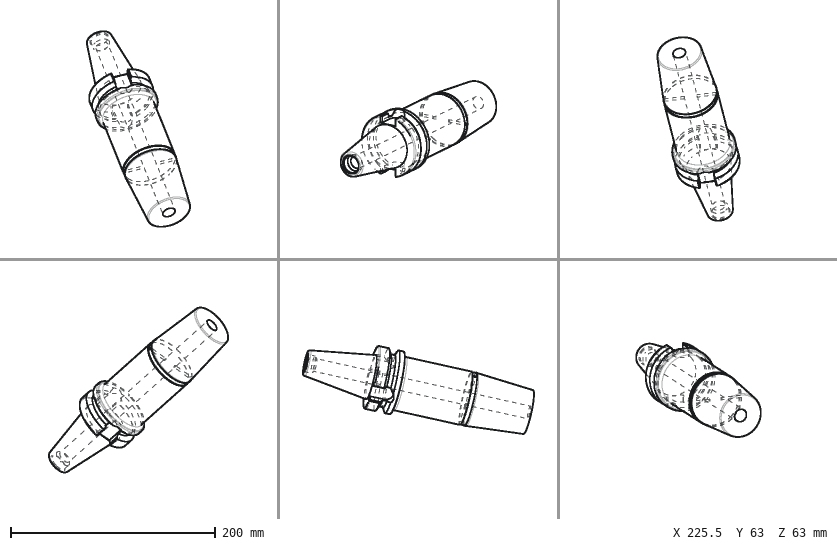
import cadquery as cq
import math

TOTAL_LENGTH = 225.5
FLANGE_START = 66.0
FLANGE_WIDTH = 26.4
FLANGE_END = FLANGE_START + FLANGE_WIDTH

TAPER_BIG_RADIUS = 22.3
TAPER_SLOPE = 7 / 48
TAPER_SMALL_RADIUS = TAPER_BIG_RADIUS - FLANGE_START * TAPER_SLOPE
TAPER_END_FILLET = 1.8

FLANGE_RADIUS = 31.5
FLANGE_EDGE = 1.1
GROOVE_FLANK_ANGLE = 30
GROOVE_BOTTOM_RADIUS = 26.4
GROOVE_BOTTOM_START = 79.8
GROOVE_BOTTOM_END = 84.0
GROOVE_DEPTH = FLANGE_RADIUS - GROOVE_BOTTOM_RADIUS
GROOVE_FLANK_WIDTH = GROOVE_DEPTH * math.tan(math.radians(GROOVE_FLANK_ANGLE))

BODY_RADIUS = 26.8
BODY_FILLET = 2.7
RELIEF_START = 161.5
RELIEF_END = 166.3
RELIEF_DEPTH = 0.5
NOSE_START = 167.7
NOSE_START_RADIUS = 26.5
NOSE_END_RADIUS = 22.0
NOSE_EDGE = 1.1

SLOT_HALF_WIDTH = 8.0
SLOT_FLOOR = 22.8
SLOT_END = 88.8
SLOT_BEVEL = 1.1

BORE_RADIUS = 6.3
ENTRY_RADIUS = 8.5
ENTRY_DEPTH = 7.2
ENTRY_CHAMFER = 1.0

CROSS_HOLE_RADIUS = 1.1
CROSS_HOLE_X = 163.9


def make_turned_body():
    """Revolve the outer profile about the X axis."""
    corner = FLANGE_EDGE * (1 - math.sqrt(0.5))
    body_corner = BODY_FILLET * (1 - math.sqrt(0.5))
    profile = (
        cq.Workplane("XZ")
        .lineTo(0, TAPER_SMALL_RADIUS)
        .lineTo(FLANGE_START, TAPER_BIG_RADIUS)
        .lineTo(FLANGE_START, FLANGE_RADIUS - FLANGE_EDGE)
        .threePointArc(
            (FLANGE_START + corner, FLANGE_RADIUS - corner),
            (FLANGE_START + FLANGE_EDGE, FLANGE_RADIUS),
        )
        .lineTo(GROOVE_BOTTOM_START - GROOVE_FLANK_WIDTH, FLANGE_RADIUS)
        .lineTo(GROOVE_BOTTOM_START, GROOVE_BOTTOM_RADIUS)
        .lineTo(GROOVE_BOTTOM_END, GROOVE_BOTTOM_RADIUS)
        .lineTo(GROOVE_BOTTOM_END + GROOVE_FLANK_WIDTH, FLANGE_RADIUS)
        .lineTo(FLANGE_END - FLANGE_EDGE, FLANGE_RADIUS)
        .threePointArc(
            (FLANGE_END - corner, FLANGE_RADIUS - corner),
            (FLANGE_END, FLANGE_RADIUS - FLANGE_EDGE),
        )
        .lineTo(FLANGE_END, BODY_RADIUS + BODY_FILLET)
        .threePointArc(
            (FLANGE_END + body_corner, BODY_RADIUS + body_corner),
            (FLANGE_END + BODY_FILLET, BODY_RADIUS),
        )
        .lineTo(RELIEF_START, BODY_RADIUS)
        .lineTo(RELIEF_START + RELIEF_DEPTH, BODY_RADIUS - RELIEF_DEPTH)
        .lineTo(RELIEF_END, BODY_RADIUS - RELIEF_DEPTH)
        .lineTo(RELIEF_END, BODY_RADIUS)
        .lineTo(NOSE_START, NOSE_START_RADIUS)
        .lineTo(TOTAL_LENGTH, NOSE_END_RADIUS)
        .lineTo(TOTAL_LENGTH, 0)
        .close()
    )
    body = profile.revolve(360, (0, 0, 0), (1, 0, 0))
    body = body.faces("<X").edges().fillet(TAPER_END_FILLET)
    return body.faces(">X").edges().fillet(NOSE_EDGE)


def make_drive_slot():
    """Cutter for the round-ended slot on the +Z side, with bevelled mouth edges."""
    slot_height = FLANGE_RADIUS - SLOT_FLOOR
    arc_centre = SLOT_END - SLOT_HALF_WIDTH
    slot = (
        cq.Workplane("XY", origin=(0, 0, SLOT_FLOOR))
        .moveTo(FLANGE_START, -SLOT_HALF_WIDTH)
        .lineTo(arc_centre, -SLOT_HALF_WIDTH)
        .threePointArc((SLOT_END, 0), (arc_centre, SLOT_HALF_WIDTH))
        .lineTo(FLANGE_START, SLOT_HALF_WIDTH)
        .close()
        .extrude(slot_height)
    )
    mouth_half_width = SLOT_HALF_WIDTH + SLOT_BEVEL
    front_bevel = (
        cq.Workplane("XY", origin=(0, 0, SLOT_FLOOR))
        .moveTo(FLANGE_START, -mouth_half_width)
        .lineTo(FLANGE_START + SLOT_BEVEL, -SLOT_HALF_WIDTH)
        .lineTo(FLANGE_START + SLOT_BEVEL, SLOT_HALF_WIDTH)
        .lineTo(FLANGE_START, mouth_half_width)
        .close()
        .extrude(slot_height)
    )
    rim_height = math.sqrt(FLANGE_RADIUS**2 - mouth_half_width**2)
    top_half_width = mouth_half_width + FLANGE_RADIUS - rim_height
    rim_bevel = (
        cq.Workplane("YZ", origin=(FLANGE_START, 0, 0))
        .moveTo(-SLOT_HALF_WIDTH, rim_height - SLOT_BEVEL)
        .lineTo(SLOT_HALF_WIDTH, rim_height - SLOT_BEVEL)
        .lineTo(top_half_width, FLANGE_RADIUS)
        .lineTo(-top_half_width, FLANGE_RADIUS)
        .close()
        .extrude(GROOVE_BOTTOM_START - FLANGE_START)
    )
    return slot.union(front_bevel).union(rim_bevel)


def make_bore():
    """Cutter for the through bore with its chamfered wider entry."""
    cone_depth = ENTRY_RADIUS - BORE_RADIUS
    return (
        cq.Workplane("XZ")
        .lineTo(0, ENTRY_RADIUS + ENTRY_CHAMFER)
        .lineTo(ENTRY_CHAMFER, ENTRY_RADIUS)
        .lineTo(ENTRY_DEPTH, ENTRY_RADIUS)
        .lineTo(ENTRY_DEPTH + cone_depth, BORE_RADIUS)
        .lineTo(TOTAL_LENGTH, BORE_RADIUS)
        .lineTo(TOTAL_LENGTH, 0)
        .close()
        .revolve(360, (0, 0, 0), (1, 0, 0))
    )


def make_cross_hole():
    """Cutter for the small hole running through the body along Y."""
    return (
        cq.Workplane("XZ", origin=(CROSS_HOLE_X, 0, 0))
        .circle(CROSS_HOLE_RADIUS)
        .extrude(BODY_RADIUS, both=True)
    )


drive_slot = make_drive_slot()
result = (
    make_turned_body()
    .cut(drive_slot)
    .cut(drive_slot.rotate((0, 0, 0), (1, 0, 0), 180))
    .cut(make_bore())
    .cut(make_cross_hole())
)